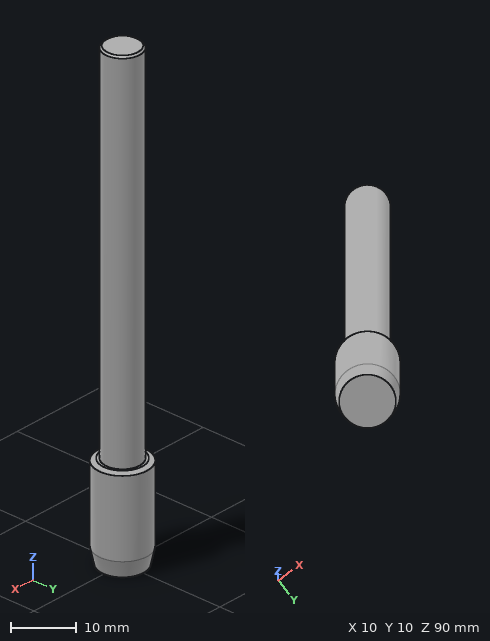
import cadquery as cq

TOTAL_LENGTH = 90.0
SLEEVE_DIAMETER = 10.0
SLEEVE_LENGTH = 18.4
ROD_DIAMETER = 7.0

ROD_CHAMFER = 0.4

TAPER_HEIGHT = 3.15
TAPER_END_DIAMETER = 8.6

CROWN_HEIGHT = 0.4
CROWN_DIAMETER = 8.0

SOCKET_DEPTH = SLEEVE_LENGTH - TAPER_HEIGHT
SOCKET_FLOOR = SLEEVE_LENGTH - SOCKET_DEPTH


def make_sleeve():
    """Turned sleeve with a tapered foot, a shallow conical top and a socket for the rod."""
    radius = SLEEVE_DIAMETER / 2
    body = (
        cq.Workplane("XZ")
        .moveTo(0, 0)
        .lineTo(TAPER_END_DIAMETER / 2, 0)
        .lineTo(radius, TAPER_HEIGHT)
        .lineTo(radius, SLEEVE_LENGTH - CROWN_HEIGHT)
        .lineTo(CROWN_DIAMETER / 2, SLEEVE_LENGTH)
        .lineTo(0, SLEEVE_LENGTH)
        .close()
        .revolve(360, (0, 0, 0), (0, 1, 0))
    )
    socket = (
        cq.Workplane("XY")
        .workplane(offset=SOCKET_FLOOR)
        .circle(ROD_DIAMETER / 2)
        .extrude(SOCKET_DEPTH)
    )
    return body.cut(socket)


def make_rod():
    """Straight round rod from the socket floor to the top, chamfered at its free end."""
    return (
        cq.Workplane("XY")
        .workplane(offset=SOCKET_FLOOR)
        .circle(ROD_DIAMETER / 2)
        .extrude(TOTAL_LENGTH - SOCKET_FLOOR)
        .faces(">Z")
        .chamfer(ROD_CHAMFER)
    )


sleeve = make_sleeve()
rod = make_rod()

result = cq.Compound.makeCompound([sleeve.val(), rod.val()])